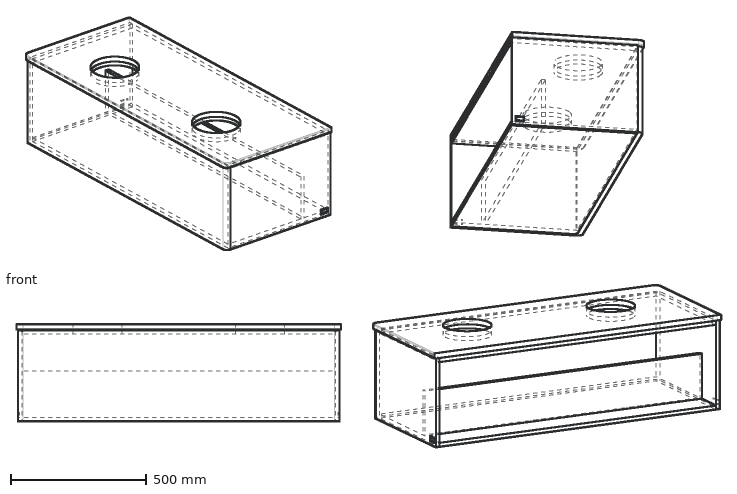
import cadquery as cq

LENGTH = 1200.0
DEPTH = 500.0
HEIGHT = 360.0

TOP_THICKNESS = 20.0
TOP_ROUND = 4.0
OVERHANG = 6.0
HOLE_DIAMETER = 180.0
HOLE_SPACING = LENGTH / 2
HOLE_FROM_BACK = 306.0

BOARD = 15.0
FRONT_THICKNESS = 22.0
FRONT_GAP = 4.0
CORNER_RADIUS = 19.0
CABINET_LENGTH = LENGTH - 2 * OVERHANG
CABINET_DEPTH = DEPTH - OVERHANG
CABINET_HEIGHT = HEIGHT - TOP_THICKNESS
CARCASS_DEPTH = CABINET_DEPTH - FRONT_THICKNESS
INNER_LENGTH = CABINET_LENGTH - 2 * BOARD

PANEL_FROM_BACK = 113.0
PANEL_TOP = 187.0

CAP_WIDTH = 31.0
CAP_HEIGHT = 18.0
CAP_BEVEL = 2.0
CAP_FROM_BACK = 13.0
CAP_FROM_BOTTOM = 15.0
CAP_DEPTH = 6.0


def block(length, depth, height, back=0.0, bottom=0.0):
    """Box centred on X, running forward (-Y) from its back face and up from its bottom."""
    return (
        cq.Workplane("XY")
        .box(length, depth, height, centered=(True, False, False))
        .translate((0, -back - depth, bottom))
    )


def cut_basin_holes(board):
    """Cut the two round holes through the full height of a horizontal board."""
    drill = (
        cq.Workplane("XY")
        .pushPoints([(-HOLE_SPACING / 2, -HOLE_FROM_BACK), (HOLE_SPACING / 2, -HOLE_FROM_BACK)])
        .circle(HOLE_DIAMETER / 2)
        .extrude(HEIGHT)
    )
    return board.cut(drill)


def make_countertop():
    """Slab with rounded front corners and rounded front and side edges."""
    slab = block(LENGTH, DEPTH, TOP_THICKNESS, bottom=CABINET_HEIGHT)
    slab = slab.edges("|Z and <Y").fillet(CORNER_RADIUS + OVERHANG)
    for face in (">Z", "<Z"):
        slab = slab.faces(face).edges("not >Y").fillet(TOP_ROUND)
    return cut_basin_holes(slab)


def make_support_board():
    """Board between the sides, directly under the countertop."""
    board = block(INNER_LENGTH, CARCASS_DEPTH, BOARD, bottom=CABINET_HEIGHT - BOARD)
    return cut_basin_holes(board)


def make_front():
    """Front board with rounded outer corners, a small gap below the countertop."""
    board = block(CABINET_LENGTH, FRONT_THICKNESS, CABINET_HEIGHT - FRONT_GAP, back=CARCASS_DEPTH)
    return board.edges("|Z and <Y").fillet(CORNER_RADIUS)


def cap_blank(side):
    """Plain block that fills the recess of a side board; side is -1 or 1."""
    blank = block(CAP_DEPTH, CAP_WIDTH, CAP_HEIGHT, CAP_FROM_BACK, CAP_FROM_BOTTOM)
    return blank.translate((side * (CABINET_LENGTH - CAP_DEPTH) / 2, 0, 0))


def make_cap(side):
    """Bevelled cap set flush into a side board; side is -1 or 1."""
    outer_face = ">X" if side > 0 else "<X"
    return cap_blank(side).faces(outer_face).chamfer(CAP_BEVEL)


def make_side(side):
    """Side board with a straight-walled recess for its cap; side is -1 or 1."""
    board = block(BOARD, CARCASS_DEPTH, CABINET_HEIGHT)
    board = board.translate((side * (CABINET_LENGTH - BOARD) / 2, 0, 0))
    return board.cut(cap_blank(side))


countertop = make_countertop()
support_board = make_support_board()
front = make_front()
floor = block(INNER_LENGTH, CARCASS_DEPTH, BOARD)
cross_panel = block(INNER_LENGTH, BOARD, PANEL_TOP - BOARD, back=PANEL_FROM_BACK, bottom=BOARD)

sides_and_caps = []
for side in (-1, 1):
    sides_and_caps += [make_side(side).val(), make_cap(side).val()]

result = cq.Compound.makeCompound(
    [countertop.val(), support_board.val(), front.val(), floor.val(), cross_panel.val(), *sides_and_caps]
)